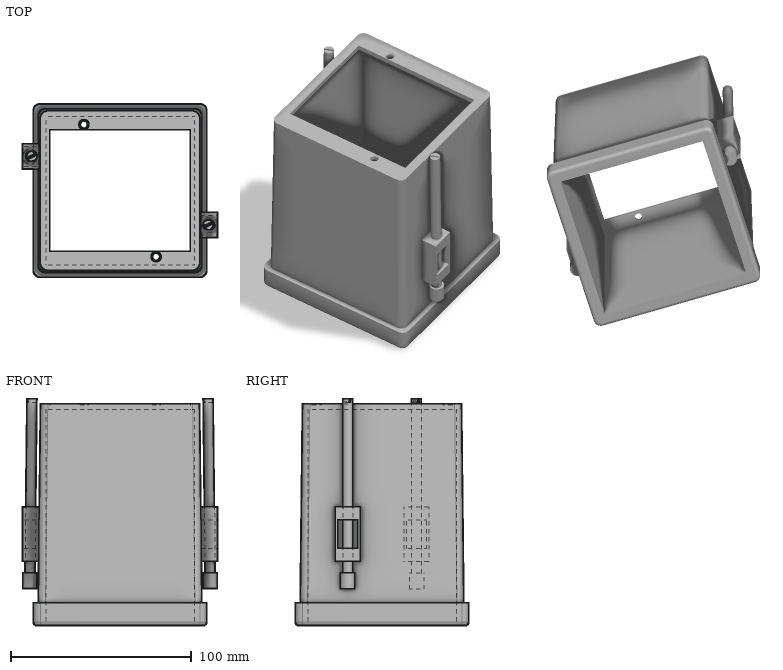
import cadquery as cq
import math

total_height = 125.5
overall_width = 108.0
draft_angle = 0.65
draft_slope = math.tan(math.radians(draft_angle))

bezel_side = 96.0
bezel_height = 12.7
corner_radius = 4.0
bezel_edge_radius = 2.0
case_top_side = 88.1
case_top = 122.7
case_bottom_side = case_top_side + 2 * (case_top - bezel_height) * draft_slope
wall = 3.0
cavity_side = case_top_side - 2 * wall
end_plate = 3.0
window_length = 77.5
window_width = 67.0

plate_hole_diameter = 4.0
countersink_diameter = 5.5
countersink_angle = 90.0
plate_hole_x = 20.0
plate_hole_y = 36.5

clamp_y = 19.0
bracket_bottom = 35.5
bracket_height = 30.1
bracket_width = 14.0
bracket_window_height = 15.7
bracket_window_width = 10.9
screw_diameter = 5.6
screw_top_x = 48.7
slot_width = 1.0
slot_depth = 1.9
slot_angle = 25.0
foot_diameter = 8.0
foot_height = 8.8
foot_bottom = 20.5
clamp_turns = (0, 180)

screw_bottom = foot_bottom + foot_height
screw_top = total_height - screw_diameter / 2 * math.sin(math.radians(draft_angle))
screw_length = (screw_top - screw_bottom) / math.cos(math.radians(draft_angle))


def rounded_square(side):
    return cq.Sketch().rect(side, side).vertices().fillet(corner_radius)


def make_case():
    """Solid tapered case, with the same corner radius at both ends."""
    return (
        cq.Workplane("XY", origin=(0, 0, bezel_height))
        .placeSketch(
            rounded_square(case_bottom_side),
            rounded_square(case_top_side).moved(cq.Location(cq.Vector(0, 0, case_top - bezel_height))),
        )
        .loft()
    )


def make_bezel():
    return (
        cq.Workplane("XY")
        .placeSketch(rounded_square(bezel_side))
        .extrude(bezel_height)
        .faces("<Z")
        .edges()
        .fillet(bezel_edge_radius)
    )


def make_housing():
    cavity = cq.Workplane("XY").rect(cavity_side, cavity_side).extrude(case_top - end_plate)
    window = cq.Workplane("XY").rect(window_length, window_width).extrude(case_top)
    return (
        make_bezel()
        .union(make_case())
        .cut(cavity)
        .cut(window)
        .faces(">Z")
        .workplane(origin=(0, 0, case_top))
        .pushPoints([(-plate_hole_x, plate_hole_y), (plate_hole_x, -plate_hole_y)])
        .cskHole(plate_hole_diameter, countersink_diameter, countersink_angle, depth=end_plate)
    )


def lean(body):
    """Move a body from the upright Z axis, origin at the screw top, to the leaning screw axis."""
    return body.rotate((0, 0, 0), (0, 1, 0), draft_angle).translate((-screw_top_x, clamp_y, screw_top))


def make_screw():
    shank = cq.Workplane("XY").circle(screw_diameter / 2).extrude(-screw_length)
    slot = cq.Workplane("XY").rect(2 * screw_diameter, slot_width).extrude(-slot_depth)
    return lean(shank.cut(slot).rotate((0, 0, 0), (0, 0, 1), slot_angle))


def make_foot():
    """Round foot in line with the screw, flat against its lower end."""
    return lean(
        cq.Workplane("XY", origin=(0, 0, -screw_length)).circle(foot_diameter / 2).extrude(-foot_height)
    )


def make_bracket(case, screw):
    """Block with an open window, its back following the case wall and bored for the screw."""
    depth = (overall_width - case_top_side) / 2
    block = cq.Workplane("XY").box(depth, bracket_width, bracket_height, centered=(False, True, False))
    window = cq.Workplane("XY").box(depth, bracket_window_width, bracket_window_height)
    window = window.translate((depth / 2, 0, bracket_height / 2))
    bracket = block.cut(window).translate((-overall_width / 2, clamp_y, bracket_bottom))
    return bracket.cut(case).cut(screw)


def turned(body, angle):
    return body.rotate((0, 0, 0), (0, 0, 1), angle)


housing = make_housing()
screw = make_screw()
foot = make_foot()
bracket = make_bracket(make_case(), screw)

brackets = [turned(bracket, angle).solids().val() for angle in clamp_turns]
screws = [turned(screw, angle).solids().val() for angle in clamp_turns]
feet = [turned(foot, angle).solids().val() for angle in clamp_turns]

result = cq.Compound.makeCompound([housing.solids().val(), *brackets, *screws, *feet])